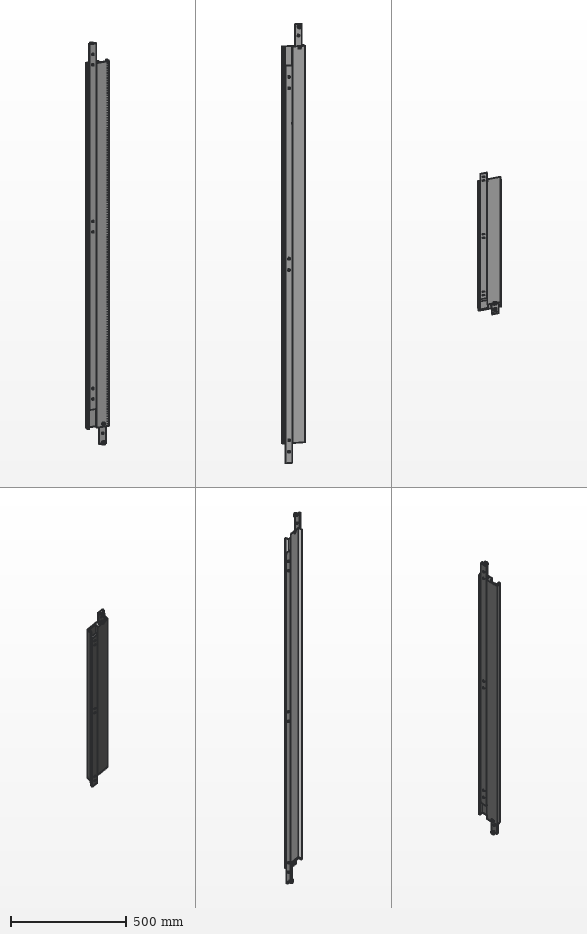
import cadquery as cq

total_length = 1930.0
depth = 21.0
width = 100.0
rail_bottom = 87.0
rail_length = 1749.0

web_thickness = 5.0
centre_wall = 14.0
outer_wall = 8.0

slider_length = 1753.0
slider_depth = 10.0
running_gap = 2.7
hole_diameter = 8.7
hole_end_distance = 50.0
hole_pitch = 50.0

head_diameter = 17.0
head_thickness = 4.0
shank_diameter = 8.0
stud_end_distance = head_diameter / 2

access_diameter = 14.0

channel_width = (width - centre_wall) / 2 - outer_wall
channel_y = (centre_wall + channel_width) / 2
slider_width = channel_width - 2 * running_gap
channel_depth = depth - web_thickness
middle_z = total_length / 2
rail_z = rail_bottom + rail_length / 2
slider_shift = (total_length - slider_length) / 2


def disc_bar(x_start, x_end, y, z, diameter):
    """Round bar along X between two X positions."""
    length = abs(x_end - x_start)
    return (
        cq.Workplane("YZ", origin=(min(x_start, x_end), y, z))
        .circle(diameter / 2)
        .extrude(length)
    )


def make_rail():
    """Rail with one channel open to -X and one open to +X."""
    rail = cq.Workplane("XY").box(depth, width, rail_length).translate((0, 0, rail_z))
    for side in (-1, 1):
        channel = cq.Workplane("XY").box(channel_depth, channel_width, rail_length)
        rail = rail.cut(channel.translate((-side * web_thickness / 2, side * channel_y, rail_z)))
        hole_z = middle_z - side * (middle_z - hole_end_distance - hole_pitch)
        rail = rail.cut(disc_bar(0, side * depth / 2, side * channel_y, hole_z, access_diameter))
    return rail


def make_slider(side):
    """Slider in the channel at side * Y, with its stop stud pointing at the web."""
    open_x = -side * depth / 2
    inner_x = open_x + side * slider_depth
    web_x = side * depth / 2
    y = side * channel_y
    slider_z = middle_z - side * slider_shift

    slider = cq.Workplane("XY").box(slider_depth, slider_width, slider_length)
    slider = slider.translate(((open_x + inner_x) / 2, y, slider_z))

    end_pair = slider_length / 2 - hole_end_distance - hole_pitch / 2
    for pair_offset in (-end_pair, 0, end_pair):
        for hole_offset in (-hole_pitch / 2, hole_pitch / 2):
            hole_z = slider_z + pair_offset + hole_offset
            slider = slider.cut(disc_bar(open_x, inner_x, y, hole_z, hole_diameter))

    stud_z = middle_z - side * (middle_z - stud_end_distance)
    shank = disc_bar(inner_x, web_x, y, stud_z, shank_diameter)
    head = disc_bar(web_x - side * head_thickness, web_x, y, stud_z, head_diameter)
    return slider.union(shank).union(head)


rail = make_rail()
sliders = [make_slider(side).val() for side in (-1, 1)]
result = cq.Compound.makeCompound([rail.val(), *sliders])